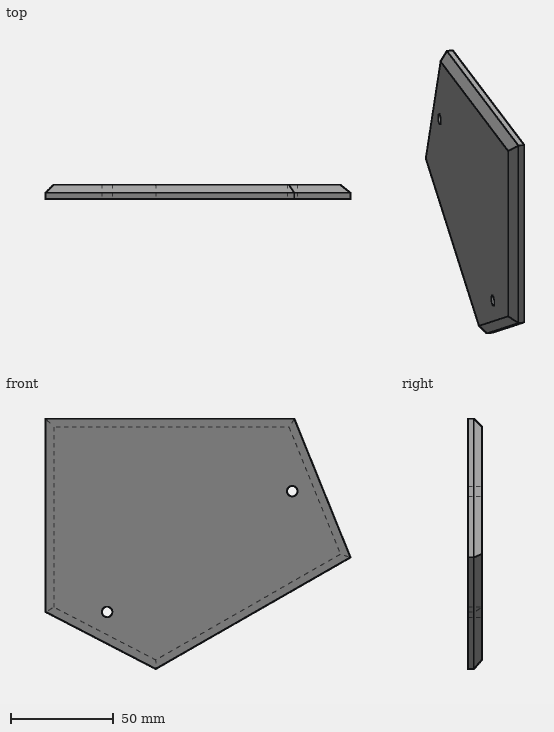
import cadquery as cq

overall_width = 148.35
overall_height = 121.77
thickness = 7.0
bevel = 4.0

top_edge_length = 121.0
left_edge_length = 94.0
right_corner_drop = 67.5
bottom_corner_x = 53.6

hole_diameter = 5.0
hole_positions = [(30.0, 94.0), (120.0, 35.3)]

outline = [
    (0, 0),
    (top_edge_length, 0),
    (overall_width, -right_corner_drop),
    (bottom_corner_x, -overall_height),
    (0, -left_edge_length),
]


def beveled_plate():
    """Plate with its front face on Y = 0 and the back face edges beveled."""
    plate = cq.Workplane("XZ").polyline(outline).close().extrude(-thickness)
    return plate.faces(">Y").chamfer(bevel)


def hole_cutter(from_left, from_top):
    """Cylinder through the full plate thickness."""
    return (
        cq.Workplane("XZ")
        .center(from_left, -from_top)
        .circle(hole_diameter / 2)
        .extrude(-thickness)
    )


result = beveled_plate()
for from_left, from_top in hole_positions:
    result = result.cut(hole_cutter(from_left, from_top))